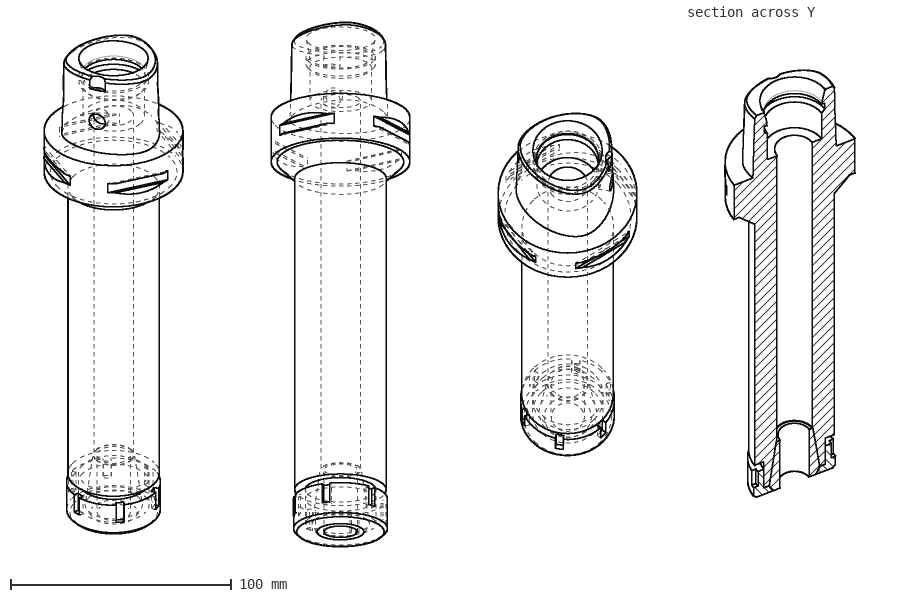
import cadquery as cq
import math


shank_length = 38.0
reach = 200.0

shank_base_radius = 22.15
lobe_count = 3
lobe_height = 1.4
taper_slope = 1 / 40
shank_chamfer_height = 1.6
shank_chamfer_width = 1.0
outline_points = 48

flange_radius = 31.5
flange_height = 21.6
cone_top_radius = 28.7
cone_height = 7.9
body_radius = 20.75
neck_radius = 16.0
neck_gap = 4.4

mouth_radius = 15.7
mouth_depth = 7.0
land_radius = 14.2
land_depth = 8.9
groove_radius = 15.7
groove_depth = 12.3
bore_radius = 14.0
bore_depth = 30.0
through_radius = 9.0

notch_radius = 4.5
notch_depth = 6.0
notch_axis_y = -22.1
side_hole_radius = 3.9
side_hole_z = 15.7
side_hole_floor_y = -15.0

gripper_count = 4
gripper_floor_distance = 27.8
gripper_floor_height = 4.7
gripper_flank_distance = 29.2
gripper_flank_angle = 33.0
gripper_z = -11.9

nut_radius = 21.3
nut_height = 15.9
nut_chamfer_height = 1.5
nut_chamfer_width = 1.5
slot_count = 6
slot_width = 3.6
slot_length = 9.0
slot_depth = 2.2

collet_bore_radius = 7.5
collet_large_radius = 13.0
collet_back_length = 26.0
collet_back_angle = 8.0
collet_front_length = 4.0
collet_front_angle = 30.0

cone_top_z = -flange_height
cone_bottom_z = cone_top_z - cone_height
nut_face_z = -reach
nut_top_z = nut_face_z + nut_height
body_bottom_z = nut_top_z + neck_gap
nose_z = nut_face_z + collet_front_length
collet_back_z = nose_z + collet_back_length
collet_back_radius = collet_large_radius - collet_back_length * math.tan(math.radians(collet_back_angle))
collet_front_radius = collet_large_radius - collet_front_length * math.tan(math.radians(collet_front_angle))


def revolve(profile):
    """Turn a closed (radius, z) profile about the Z axis."""
    return cq.Workplane("XZ").polyline(profile).close().revolve(360, (0, 0, 0), (0, 1, 0))


def polygon_wire(mean_radius, z):
    """Trilobe outline with support function mean_radius + lobe_height * cos(3 a), one lobe on +Y."""
    points = []
    for i in range(outline_points):
        a = 2 * math.pi * i / outline_points
        support = mean_radius + lobe_height * math.cos(lobe_count * a)
        slope = -lobe_count * lobe_height * math.sin(lobe_count * a)
        along_lobe = support * math.cos(a) - slope * math.sin(a)
        across_lobe = support * math.sin(a) + slope * math.cos(a)
        points.append(cq.Vector(-across_lobe, along_lobe, z))
    return cq.Wire.assembleEdges([cq.Edge.makeSpline(points, periodic=True)])


def make_shank():
    """Tapered polygon shank with a chamfered top edge."""
    chamfer_z = shank_length - shank_chamfer_height
    chamfer_radius = shank_base_radius - taper_slope * chamfer_z
    top_radius = chamfer_radius - shank_chamfer_width
    base = polygon_wire(shank_base_radius, 0)
    middle = polygon_wire(chamfer_radius, chamfer_z)
    top = polygon_wire(top_radius, shank_length)
    taper = cq.Solid.makeLoft([base, middle], True)
    chamfer = cq.Solid.makeLoft([middle, top], True)
    return cq.Workplane(taper).union(cq.Workplane(chamfer))


def make_gripper_groove():
    """Cutter for a straight groove with flared walls across the +X side of the flange."""
    flank_run = flange_radius - gripper_flank_distance
    floor_half = gripper_floor_height / 2
    mouth_half = floor_half + flank_run * math.tan(math.radians(gripper_flank_angle))
    profile = [
        (gripper_floor_distance, gripper_z - floor_half),
        (gripper_flank_distance, gripper_z - floor_half),
        (flange_radius, gripper_z - mouth_half),
        (flange_radius, gripper_z + mouth_half),
        (gripper_flank_distance, gripper_z + floor_half),
        (gripper_floor_distance, gripper_z + floor_half),
    ]
    return cq.Workplane("XZ").polyline(profile).close().extrude(flange_radius, both=True)


def make_bore():
    """Cutter for the whole bore: tapered mouth, undercut groove, drawbar bore, passage and collet seat."""
    groove_flank = groove_radius - bore_radius
    return revolve([
        (0, shank_length),
        (mouth_radius, shank_length),
        (land_radius, shank_length - mouth_depth),
        (land_radius, shank_length - land_depth),
        (groove_radius, shank_length - land_depth),
        (groove_radius, shank_length - groove_depth),
        (bore_radius, shank_length - groove_depth - groove_flank),
        (bore_radius, shank_length - bore_depth),
        (through_radius, shank_length - bore_depth),
        (through_radius, collet_back_z),
        (collet_back_radius, collet_back_z),
        (collet_large_radius, nose_z),
        (0, nose_z),
    ])


def make_holder():
    body = revolve([
        (0, 0),
        (flange_radius, 0),
        (flange_radius, cone_top_z),
        (cone_top_radius, cone_top_z),
        (body_radius, cone_bottom_z),
        (body_radius, body_bottom_z),
        (neck_radius, body_bottom_z),
        (neck_radius, nose_z),
        (0, nose_z),
    ])
    holder = body.union(make_shank())
    holder = holder.cut(make_bore())

    notch = (
        cq.Workplane("XY", origin=(0, notch_axis_y, shank_length - notch_depth))
        .circle(notch_radius)
        .extrude(notch_depth)
    )
    holder = holder.cut(notch)

    side_hole = (
        cq.Workplane("XZ", origin=(0, side_hole_floor_y, side_hole_z))
        .circle(side_hole_radius)
        .extrude(flange_radius + side_hole_floor_y)
    )
    holder = holder.cut(side_hole)

    gripper_groove = make_gripper_groove()
    pitch = 360 / gripper_count
    for i in range(gripper_count):
        holder = holder.cut(gripper_groove.rotate((0, 0, 0), (0, 0, 1), pitch * (i + 0.5)))
    return holder


def make_nut():
    nut = revolve([
        (neck_radius, nut_top_z),
        (nut_radius, nut_top_z),
        (nut_radius, nut_face_z + nut_chamfer_height),
        (nut_radius - nut_chamfer_width, nut_face_z),
        (collet_front_radius, nut_face_z),
        (collet_large_radius, nose_z),
        (neck_radius, nose_z),
    ])

    slot = cq.Workplane("XY").box(slot_depth, slot_width, slot_length, centered=(False, True, False))
    slot = slot.translate((nut_radius - slot_depth, 0, nut_top_z - slot_length))
    for i in range(slot_count):
        nut = nut.cut(slot.rotate((0, 0, 0), (0, 0, 1), 360 / slot_count * i))
    return nut


def make_collet():
    """Double-cone sleeve held between the holder seat and the nut."""
    return revolve([
        (collet_bore_radius, nut_face_z),
        (collet_front_radius, nut_face_z),
        (collet_large_radius, nose_z),
        (collet_back_radius, collet_back_z),
        (collet_bore_radius, collet_back_z),
    ])


holder = make_holder()
nut = make_nut()
collet = make_collet()

result = cq.Compound.makeCompound([holder.val(), nut.val(), collet.val()])